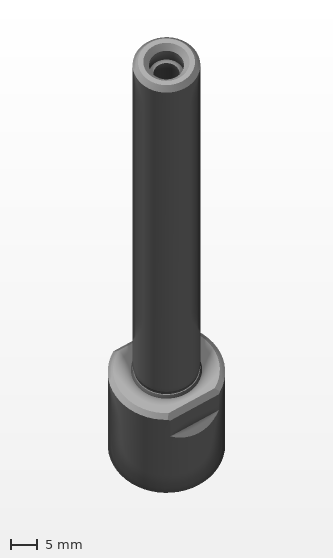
import cadquery as cq

total_length = 125.5
head_diameter = 22.0
head_length = 25.5
shaft_diameter = 12.7
edge_chamfer = 1.0
head_bevel_height = 0.8

groove_diameter = 12.3
groove_bottom = 26.2
groove_taper_start = 26.7
groove_top = 27.2

foot_diameter = 13.3
foot_height = groove_bottom - head_length

flat_width = 19.1
flat_bottom = 19.3

bore_diameter = 4.9
counterbore_diameter = 6.5
counterbore_depth = 3.9
countersink_diameter = 8.7


def cone(bottom_diameter, top_diameter, height, base_z):
    """Upright truncated cone on the Z axis."""
    profile = [
        (0, base_z),
        (bottom_diameter / 2, base_z),
        (top_diameter / 2, base_z + height),
        (0, base_z + height),
    ]
    return cq.Workplane("XZ").polyline(profile).close().revolve(360, (0, 0), (0, 1))


def cylinder(diameter, bottom, top):
    return cone(diameter, diameter, top - bottom, bottom)


def flat_cutter():
    """Removes the +X side of the head down to a 45 degree run-out and bevels the flat's top edge."""
    inner = flat_width / 2
    outer = head_diameter / 2
    runout = outer - inner
    profile = [
        (inner, flat_bottom),
        (outer, flat_bottom - runout),
        (outer, head_length),
        (inner - edge_chamfer, head_length),
        (inner, head_length - edge_chamfer),
    ]
    return cq.Workplane("XZ").polyline(profile).close().extrude(head_diameter / 2, both=True)


def make_head():
    bevel_bottom = head_length - head_bevel_height
    head = cylinder(head_diameter, 0, bevel_bottom).faces("<Z").chamfer(edge_chamfer)
    head = head.union(
        cone(head_diameter, head_diameter - 2 * edge_chamfer, head_bevel_height, bevel_bottom)
    )
    cutter = flat_cutter()
    return head.cut(cutter).cut(cutter.mirror("YZ"))


def make_shaft():
    shaft = cylinder(shaft_diameter, head_length, total_length)
    shaft = shaft.faces(">Z").chamfer(edge_chamfer)
    groove = cylinder(shaft_diameter, groove_bottom, groove_top)
    taper_height = groove_top - groove_taper_start
    groove = groove.cut(cylinder(groove_diameter, groove_bottom, groove_taper_start))
    groove = groove.cut(cone(groove_diameter, shaft_diameter, taper_height, groove_taper_start))
    foot = cone(foot_diameter, shaft_diameter, foot_height, head_length)
    return shaft.cut(groove).union(foot)


def make_bore():
    through = cylinder(bore_diameter, 0, total_length)
    counterbore = cylinder(counterbore_diameter, total_length - counterbore_depth, total_length)
    sink_depth = (countersink_diameter - counterbore_diameter) / 2
    countersink = cone(
        counterbore_diameter, countersink_diameter, sink_depth, total_length - sink_depth
    )
    return through.union(counterbore).union(countersink)


result = make_head().union(make_shaft()).cut(make_bore())